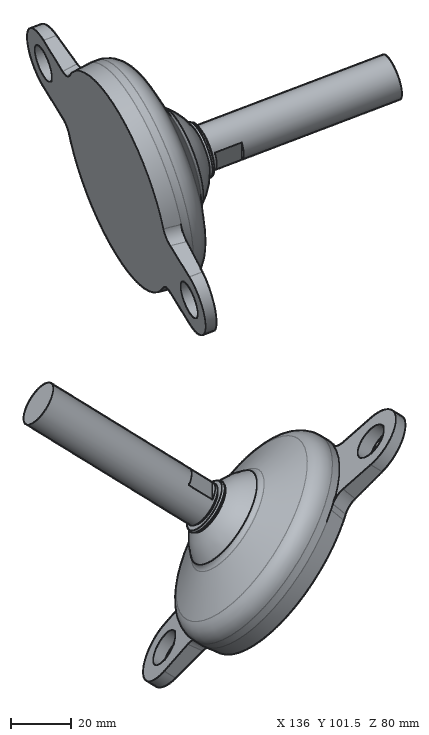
import cadquery as cq
import math


disc_radius = 40.0
face_radius = 39.2
draft_top = 6.1
rim_top = 9.0
shoulder_radius = 7.3
cone_angle = math.radians(20.7)
cone_top = 21.8
dome_center = 8.8
dome_radius = 23.1
dome_start = 23.4
dome_top = 29.9
lip_top = 30.7
lip_flare = 0.4

overall_length = 136.0
ear_radius = 12.5
ear_center = overall_length / 2 - ear_radius
ear_hole_diameter = 13.0
ear_fillet = 5.5
ear_tip_height = 4.1
ear_root_height = 5.8

stem_end = 101.5
stem_radius = 8.0
collar_top = 31.5
stem_chamfer = 0.61
flat_start = 33.2
flat_end = 43.1
across_flats = 13.0


def dome_radius_at(y):
    return math.sqrt(dome_radius**2 - (y - dome_center) ** 2)


neck_radius = dome_radius_at(dome_top)
lip_radius = neck_radius + lip_flare


def make_foot_disc():
    """Revolved foot: drafted rim, rounded shoulder, cone, blend and dome."""
    shoulder_x = disc_radius - shoulder_radius

    def shoulder_point(angle):
        return (
            shoulder_x + shoulder_radius * math.cos(angle),
            rim_top + shoulder_radius * math.sin(angle),
        )

    cone_start_angle = math.pi / 2 - cone_angle
    cone_start = shoulder_point(cone_start_angle)
    cone_end_radius = cone_start[0] - (cone_top - cone_start[1]) / math.tan(cone_angle)
    dome_middle = (dome_start + dome_top) / 2
    profile = (
        cq.Workplane("XY")
        .lineTo(face_radius, 0)
        .lineTo(disc_radius, draft_top)
        .lineTo(disc_radius, rim_top)
        .threePointArc(shoulder_point(cone_start_angle / 2), cone_start)
        .lineTo(cone_end_radius, cone_top)
        .tangentArcPoint((dome_radius_at(dome_start), dome_start), relative=False)
        .threePointArc((dome_radius_at(dome_middle), dome_middle), (neck_radius, dome_top))
        .lineTo(lip_radius, lip_top)
        .lineTo(0, lip_top)
        .close()
    )
    disc = profile.revolve(360, (0, 0, 0), (0, 1, 0))
    return disc.rotate((0, 0, 0), (0, 1, 0), 90)


def make_ear_blank(side):
    """Round-ended bar from the axis to the ear tip, on one side (+1 or -1 along X)."""
    return (
        cq.Workplane("XZ")
        .moveTo(0, ear_radius)
        .lineTo(side * ear_center, ear_radius)
        .threePointArc((side * overall_length / 2, 0), (side * ear_center, -ear_radius))
        .lineTo(0, -ear_radius)
        .close()
        .extrude(-rim_top)
    )


def make_ears():
    """Both ears on a drafted core, with rounded roots, sloped backs and holes."""
    draft = (disc_radius - face_radius) / draft_top
    core = (
        cq.Workplane("XY")
        .lineTo(face_radius, 0)
        .lineTo(face_radius + draft * rim_top, rim_top)
        .lineTo(0, rim_top)
        .close()
        .revolve(360, (0, 0, 0), (0, 1, 0))
        .rotate((0, 0, 0), (0, 1, 0), 90)
    )
    blank = core.union(make_ear_blank(-1)).union(make_ear_blank(1))

    root_x = math.sqrt(face_radius**2 - ear_radius**2)
    reach = 2.0
    for x in (-root_x, root_x):
        for z in (-ear_radius, ear_radius):
            corner = cq.selectors.BoxSelector(
                (x - reach, 0, z - reach), (x + reach, rim_top, z + reach)
            )
            blank = blank.edges(corner).fillet(ear_fillet)

    tip_x = overall_length / 2
    slope = (ear_root_height - ear_tip_height) / (tip_x - disc_radius)
    center_height = ear_tip_height + slope * tip_x
    sloped_envelope = (
        cq.Workplane("XY")
        .moveTo(-tip_x, 0)
        .lineTo(tip_x, 0)
        .lineTo(tip_x, ear_tip_height)
        .lineTo(0, center_height)
        .lineTo(-tip_x, ear_tip_height)
        .close()
        .extrude(ear_radius + ear_fillet, both=True)
    )
    holes = (
        cq.Workplane("XZ")
        .pushPoints([(-ear_center, 0), (ear_center, 0)])
        .circle(ear_hole_diameter / 2)
        .extrude(-rim_top)
    )
    return blank.intersect(sloped_envelope).cut(holes)


def make_foot():
    return make_foot_disc().union(make_ears())


def make_stem():
    """Round stem with a tapered collar at its lower end and two wrench flats."""
    stem = (
        cq.Workplane("XY")
        .moveTo(0, lip_top)
        .lineTo(lip_radius, lip_top)
        .lineTo(neck_radius, collar_top)
        .lineTo(stem_radius - stem_chamfer, collar_top)
        .lineTo(stem_radius, collar_top + stem_chamfer)
        .lineTo(stem_radius, stem_end)
        .lineTo(0, stem_end)
        .close()
        .revolve(360, (0, 0, 0), (0, 1, 0))
    )
    for side in (-1, 1):
        flat_cut = cq.Workplane("XY").box(stem_radius, flat_end - flat_start, 2 * stem_radius)
        offset = side * (across_flats + stem_radius) / 2
        stem = stem.cut(flat_cut.translate((offset, (flat_start + flat_end) / 2, 0)))
    return stem


foot = make_foot()
stem = make_stem()
result = cq.Compound.makeCompound([foot.val(), stem.val()])